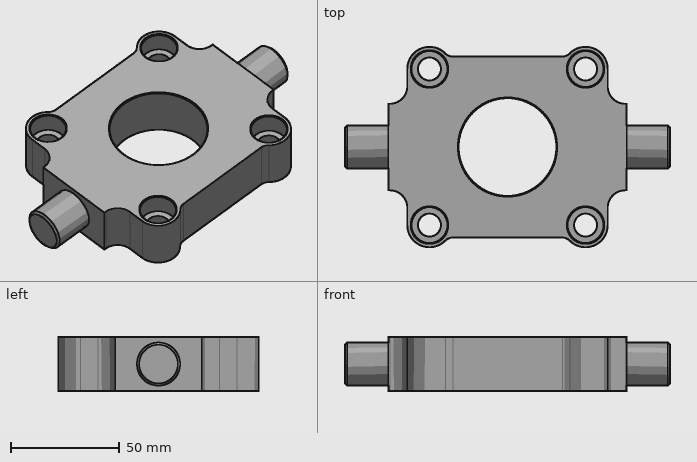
import cadquery as cq
import math

total_length = 150.0
total_width = 92.5
thickness = 25.0

body_length = 110.0
body_width = 83.5
end_face_width = 40.0
lug_offset = 36.0
lug_radius = total_width / 2 - lug_offset
end_notch_radius = 8.0
side_blend_radius = 5.0

bore_diameter = 45.0
bore_chamfer = 0.5
bolt_hole_diameter = 10.5
counterbore_diameter = 16.5
counterbore_depth = 10.0
counterbore_chamfer = 0.5

trunnion_diameter = 20.0
trunnion_chamfer = 1.0


def quarter_outline():
    """Return the quarter of the body in the +X, +Y quadrant, standing on Z = 0."""
    half_length = body_length / 2
    half_width = body_width / 2
    lug_outer = lug_offset + lug_radius
    half_end = end_face_width / 2
    diagonal = math.sqrt(0.5)

    notch_x = lug_outer + end_notch_radius
    notch_y = half_end + end_notch_radius
    notch_mid = (notch_x - end_notch_radius * diagonal, notch_y - end_notch_radius * diagonal)

    blend_y = half_width + side_blend_radius
    centre_distance = lug_radius + side_blend_radius
    blend_rise = blend_y - lug_offset
    blend_run = math.sqrt(centre_distance**2 - blend_rise**2)
    blend_x = lug_offset - blend_run
    lug_share = lug_radius / centre_distance
    blend_start = (lug_offset - blend_run * lug_share, lug_offset + blend_rise * lug_share)
    contact_angle = math.atan2(blend_rise, -blend_run)
    lug_mid = (
        lug_offset + lug_radius * math.cos(contact_angle / 2),
        lug_offset + lug_radius * math.sin(contact_angle / 2),
    )
    blend_angle = (contact_angle - math.pi - math.pi / 2) / 2
    blend_mid = (
        blend_x + side_blend_radius * math.cos(blend_angle),
        blend_y + side_blend_radius * math.sin(blend_angle),
    )

    return (
        cq.Workplane("XY")
        .lineTo(half_length, 0)
        .lineTo(half_length, half_end)
        .lineTo(notch_x, half_end)
        .threePointArc(notch_mid, (lug_outer, notch_y))
        .lineTo(lug_outer, lug_offset)
        .threePointArc(lug_mid, blend_start)
        .threePointArc(blend_mid, (blend_x, half_width))
        .lineTo(0, half_width)
        .close()
        .extrude(thickness)
    )


def make_body():
    """Mirror the quarter about both centre planes."""
    quarter = quarter_outline()
    half = quarter.union(quarter.mirror("YZ"))
    return half.union(half.mirror("XZ")).clean()


def make_trunnions():
    """One bar along X through the body, chamfered at both ends."""
    return (
        cq.Workplane("YZ", origin=(-total_length / 2, 0, thickness / 2))
        .circle(trunnion_diameter / 2)
        .extrude(total_length)
        .edges("%CIRCLE")
        .chamfer(trunnion_chamfer)
    )


def chamfered_cutter(diameter, depth, chamfer):
    """A round cutter down from the top face, flared by a chamfer at its mouth."""
    radius = diameter / 2
    return (
        cq.Workplane("XZ")
        .moveTo(0, thickness - depth)
        .lineTo(radius, thickness - depth)
        .lineTo(radius, thickness - chamfer)
        .lineTo(radius + chamfer, thickness)
        .lineTo(0, thickness)
        .close()
        .revolve(360, (0, 0, 0), (0, 1, 0))
    )


result = make_body().union(make_trunnions())

result = result.cut(chamfered_cutter(bore_diameter, thickness, bore_chamfer))

bolt_hole = cq.Workplane("XY").circle(bolt_hole_diameter / 2).extrude(thickness)
counterbore = chamfered_cutter(counterbore_diameter, counterbore_depth, counterbore_chamfer)
bolt_cutter = bolt_hole.union(counterbore)
for x_side in (-1, 1):
    for y_side in (-1, 1):
        result = result.cut(bolt_cutter.translate((x_side * lug_offset, y_side * lug_offset, 0)))